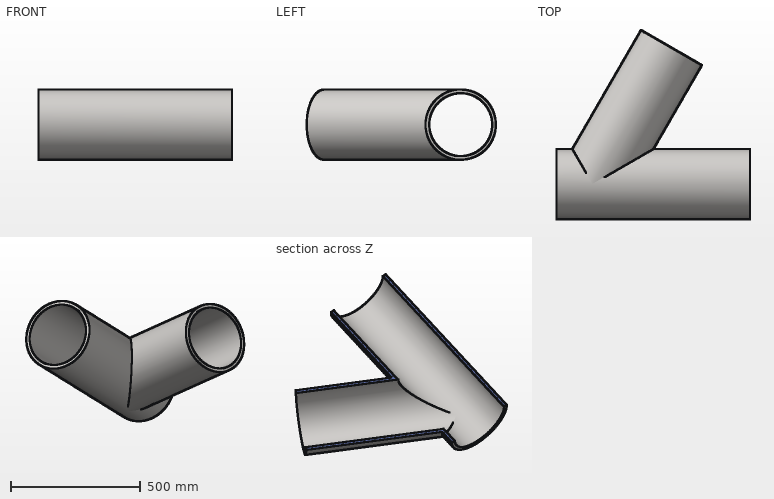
import cadquery as cq
import math

run_length = 749.0
outer_diameter = 273.0
bore_diameter = 243.0
branch_angle = math.radians(60.0)
branch_length = 610.0
branch_offset = 140.0

run_plane = cq.Plane(origin=(-branch_offset, 0, 0), xDir=(0, 1, 0), normal=(1, 0, 0))
branch_direction = (math.cos(branch_angle), math.sin(branch_angle), 0)
branch_plane = cq.Plane(origin=(0, 0, 0), xDir=(0, 0, 1), normal=branch_direction)


def tee_cylinders(diameter):
    """Run and branch cylinders of one diameter, joined."""
    run = cq.Workplane(run_plane).circle(diameter / 2).extrude(run_length)
    branch = cq.Workplane(branch_plane).circle(diameter / 2).extrude(branch_length)
    return run.union(branch)


result = tee_cylinders(outer_diameter).cut(tee_cylinders(bore_diameter))